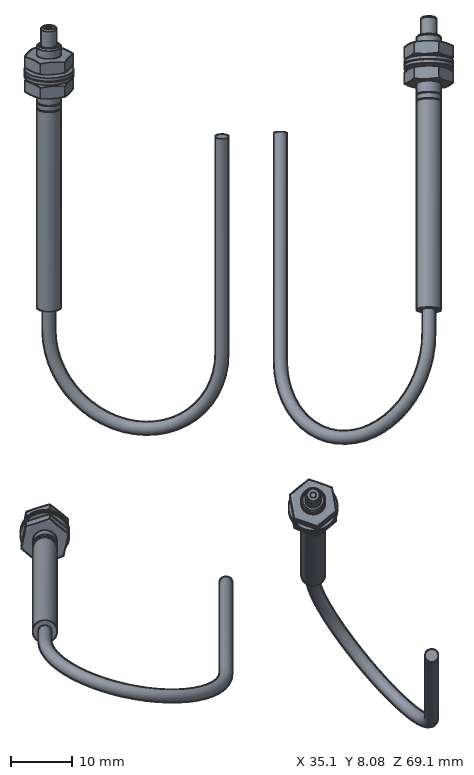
import cadquery as cq
import math

cable_diameter = 2.2
bend_radius = 15.0
lead_length = 4.0
tail_length = 38.0
bend_z = bend_radius + cable_diameter / 2

barrel_diameter = 4.0
tip_diameter = 2.6
tip_length = 3.1
edge_chamfer = 0.3
top_z = 69.1
barrel_bottom_z = bend_z + lead_length
barrel_top_z = top_z - tip_length

tip_recess_diameter = 1.0
tip_recess_depth = 0.1

groove_depth = 0.1
lower_groove_z = 55.1
groove_spacing = 1.05

nut_sides = 6
nut_across_flats = 7.0
nut_height = 2.15
nut_chamfer_angle = 15
lower_nut_bottom_z = 58.0

washer_diameter = 8.0
washer_thickness = 0.55
washer_gap = 0.15
nut_gap = 2.1


def cylinder(diameter, bottom_z, height):
    return cq.Workplane("XY", origin=(0, 0, bottom_z)).circle(diameter / 2).extrude(height)


def make_cable():
    path = (
        cq.Workplane("XZ", origin=(0, 0, barrel_bottom_z))
        .lineTo(0, -lead_length)
        .threePointArc((bend_radius, -lead_length - bend_radius), (2 * bend_radius, -lead_length))
        .lineTo(2 * bend_radius, tail_length - lead_length)
    )
    return cq.Workplane("XY", origin=(0, 0, barrel_bottom_z)).circle(cable_diameter / 2).sweep(path)


def make_groove_cutter(z):
    radius = barrel_diameter / 2
    overshoot = groove_depth
    half_width = groove_depth + overshoot
    return (
        cq.Workplane("XZ")
        .moveTo(radius - groove_depth, z)
        .lineTo(radius + overshoot, z + half_width)
        .lineTo(radius + overshoot, z - half_width)
        .close()
        .revolve(360, (0, 0, 0), (0, 1, 0))
    )


def make_sensor():
    barrel = cylinder(barrel_diameter, barrel_bottom_z, barrel_top_z - barrel_bottom_z)
    barrel = barrel.faces(">Z").chamfer(edge_chamfer)
    tip = cylinder(tip_diameter, barrel_top_z, tip_length).faces(">Z").chamfer(edge_chamfer)
    recess = cylinder(tip_recess_diameter, top_z - tip_recess_depth, tip_recess_depth)
    sensor_body = barrel.union(tip).union(make_cable()).cut(recess)
    for groove_z in (lower_groove_z, lower_groove_z + groove_spacing):
        sensor_body = sensor_body.cut(make_groove_cutter(groove_z))
    return sensor_body


def make_nut(bottom_z):
    across_corners = nut_across_flats / math.cos(math.pi / nut_sides)
    hexagon = (
        cq.Workplane("XY", origin=(0, 0, bottom_z))
        .transformed(rotate=(0, 0, 90))
        .polygon(nut_sides, across_corners)
        .extrude(nut_height)
    )
    chamfer_width = (across_corners - nut_across_flats) / 2
    chamfer_height = chamfer_width * math.tan(math.radians(nut_chamfer_angle))
    rounding = (
        cylinder(across_corners, bottom_z, nut_height)
        .faces("<Z or >Z")
        .chamfer(chamfer_height, chamfer_width)
    )
    return hexagon.intersect(rounding).cut(cylinder(barrel_diameter, bottom_z, nut_height))


def make_washer(bottom_z):
    disc = cylinder(washer_diameter, bottom_z, washer_thickness)
    return disc.cut(cylinder(barrel_diameter, bottom_z, washer_thickness))


sensor = make_sensor()

upper_nut_bottom_z = lower_nut_bottom_z + nut_height + nut_gap
nuts = [make_nut(z) for z in (lower_nut_bottom_z, upper_nut_bottom_z)]

washer_stack_height = 2 * washer_thickness + washer_gap
lower_washer_z = lower_nut_bottom_z + nut_height + (nut_gap - washer_stack_height) / 2
upper_washer_z = lower_washer_z + washer_thickness + washer_gap
washers = [make_washer(z) for z in (lower_washer_z, upper_washer_z)]

result = cq.Compound.makeCompound(
    [sensor.val()] + [nut.val() for nut in nuts] + [washer.val() for washer in washers]
)